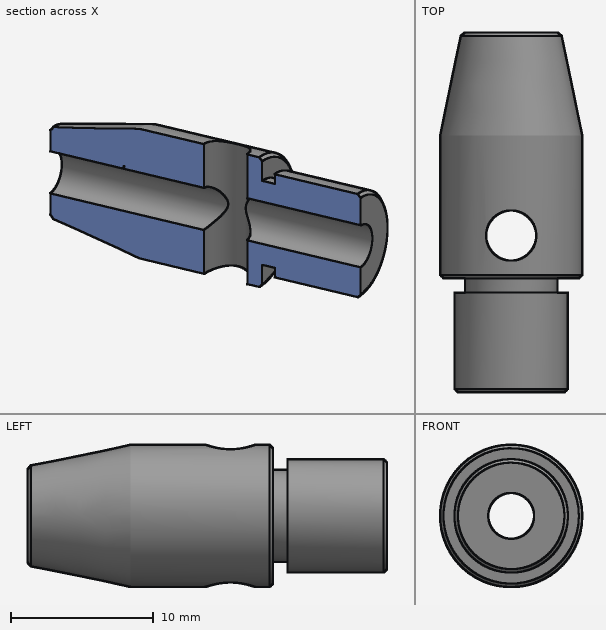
import cadquery as cq

spigot_length = 7.0
groove_width = 1.0
barrel_length = 10.0
nose_length = 7.25

spigot_diameter = 7.97
groove_diameter = 6.5
barrel_diameter = 10.0
nose_tip_diameter = 7.0
bore_diameter = 3.2
cross_hole_diameter = 3.5

chamfer = 0.25
cross_hole_from_shoulder = 3.0

shoulder_y = spigot_length + groove_width
nose_start_y = shoulder_y + barrel_length
overall_length = nose_start_y + nose_length
cross_hole_y = shoulder_y + cross_hole_from_shoulder


def axial_cylinder(diameter, start_y, length):
    """Cylinder on the Y axis, running toward +Y from start_y."""
    plane = cq.Plane(origin=(0, start_y, 0), xDir=(1, 0, 0), normal=(0, 1, 0))
    return cq.Workplane(plane).circle(diameter / 2).extrude(length)


def make_spigot():
    spigot = axial_cylinder(spigot_diameter, 0, spigot_length)
    return spigot.faces("<Y").chamfer(chamfer)


def make_groove_neck():
    return axial_cylinder(groove_diameter, spigot_length, groove_width)


def make_barrel():
    barrel = axial_cylinder(barrel_diameter, shoulder_y, barrel_length)
    return barrel.faces("<Y").chamfer(chamfer)


def make_nose():
    """Tapered nose with a chamfered rim at the tip."""
    nose = (
        cq.Workplane("XY")
        .moveTo(0, nose_start_y)
        .lineTo(barrel_diameter / 2, nose_start_y)
        .lineTo(nose_tip_diameter / 2, overall_length)
        .lineTo(0, overall_length)
        .close()
        .revolve(360, (0, 0, 0), (0, 1, 0))
    )
    return nose.faces(">Y").chamfer(chamfer)


def make_cross_hole():
    """Cutter for the hole along Z, through both walls of the barrel."""
    return (
        cq.Workplane("XY")
        .center(0, cross_hole_y)
        .circle(cross_hole_diameter / 2)
        .extrude(barrel_diameter, both=True)
    )


body = make_spigot().union(make_groove_neck()).union(make_barrel()).union(make_nose())
bore = axial_cylinder(bore_diameter, 0, overall_length)
result = body.cut(bore).cut(make_cross_hole())